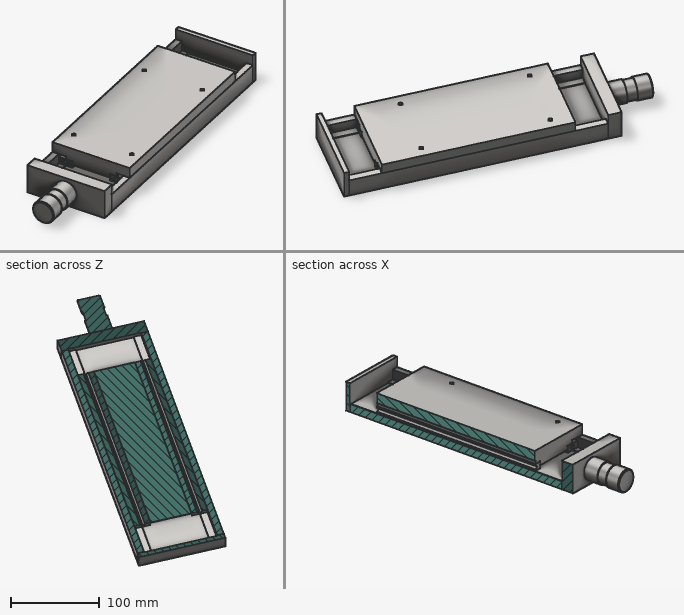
import cadquery as cq

STAGE_WIDTH = 101.5
STAGE_HEIGHT = 36.5

BASE_LENGTH = 306.0
BASE_HEIGHT = 23.5
WALL_THICKNESS = 8.5
FLOOR_HEIGHT = 10.0
SEAT_RISE = 1.0

REAR_PLATE_THICKNESS = 6.0
FRONT_PLATE_THICKNESS = 16.0

RAIL_SIZE = 8.7
RAIL_GAP = 0.8
GROOVE_DEPTH = 2.5
CHANNEL_HALF_WIDTH = STAGE_WIDTH / 2 - WALL_THICKNESS
RAIL_BOTTOM = FLOOR_HEIGHT + SEAT_RISE
OUTER_RAIL_INNER_X = CHANNEL_HALF_WIDTH - RAIL_SIZE
INNER_RAIL_OUTER_X = OUTER_RAIL_INNER_X - RAIL_GAP

CARRIAGE_LENGTH = 228.5
TONGUE_BOTTOM = 14.7
HOLE_DIAMETER = 4.5
HOLE_SPACING_X = 76.5
HOLE_SPACING_Y = 152.5
HOLE_PATTERN_Y = -12.5

KNOB_RADIUS = 14.0
NECK_RADIUS = 13.0
COLLAR_LENGTH = 19.0
NECK_LENGTH = 12.5
GRIP_LENGTH = 18.5
KNOB_CHAMFER = 1.0


def block(x_min, x_max, length, z_min, z_max):
    """Box between two X and two Z positions, centred on Y = 0."""
    size = (x_max - x_min, length, z_max - z_min)
    center = ((x_min + x_max) / 2, 0, (z_min + z_max) / 2)
    return cq.Workplane("XY").box(*size).translate(center)


def make_base():
    half = STAGE_WIDTH / 2
    body = block(-half, half, BASE_LENGTH, 0, BASE_HEIGHT)
    body = body.cut(block(-CHANNEL_HALF_WIDTH, CHANNEL_HALF_WIDTH, BASE_LENGTH, FLOOR_HEIGHT, BASE_HEIGHT))
    seat = block(OUTER_RAIL_INNER_X, CHANNEL_HALF_WIDTH, BASE_LENGTH, FLOOR_HEIGHT, RAIL_BOTTOM)
    return body.union(seat).union(seat.mirror("YZ"))


def make_end_plate(thickness, y_center):
    half = STAGE_WIDTH / 2
    return block(-half, half, thickness, 0, STAGE_HEIGHT).translate((0, y_center, 0))


def make_carriage():
    half = STAGE_WIDTH / 2
    body = block(-half, half, CARRIAGE_LENGTH, BASE_HEIGHT, STAGE_HEIGHT)
    body = body.union(
        block(-INNER_RAIL_OUTER_X, INNER_RAIL_OUTER_X, CARRIAGE_LENGTH, TONGUE_BOTTOM, BASE_HEIGHT)
    )
    pocket = block(INNER_RAIL_OUTER_X - RAIL_SIZE, INNER_RAIL_OUTER_X, CARRIAGE_LENGTH,
                   RAIL_BOTTOM, RAIL_BOTTOM + RAIL_SIZE)
    body = body.cut(pocket).cut(pocket.mirror("YZ"))
    return (
        body.faces(">Z").workplane(origin=(0, HOLE_PATTERN_Y, 0))
        .rect(HOLE_SPACING_X, HOLE_SPACING_Y, forConstruction=True)
        .vertices().hole(HOLE_DIAMETER)
    )


def make_rail(groove_x, back):
    """Rail whose V-grooved face is at groove_x; back is the X direction to its plain face."""
    middle = RAIL_BOTTOM + RAIL_SIZE / 2
    top = RAIL_BOTTOM + RAIL_SIZE
    back_x = groove_x + back * RAIL_SIZE
    return (
        cq.Workplane("XZ")
        .moveTo(groove_x, RAIL_BOTTOM)
        .lineTo(back_x, RAIL_BOTTOM)
        .lineTo(back_x, top)
        .lineTo(groove_x, top)
        .lineTo(groove_x, middle + GROOVE_DEPTH)
        .lineTo(groove_x + back * GROOVE_DEPTH, middle)
        .lineTo(groove_x, middle - GROOVE_DEPTH)
        .close()
        .extrude(CARRIAGE_LENGTH / 2, both=True)
    )


def make_knob():
    y_plate = -BASE_LENGTH / 2 - FRONT_PLATE_THICKNESS
    plane = cq.Plane(origin=(0, y_plate, STAGE_HEIGHT / 2), xDir=(1, 0, 0), normal=(0, -1, 0))
    collar = cq.Workplane(plane).circle(KNOB_RADIUS).extrude(COLLAR_LENGTH)
    neck = collar.faces("<Y").workplane().circle(NECK_RADIUS).extrude(NECK_LENGTH)
    grip = neck.faces("<Y").workplane().circle(KNOB_RADIUS).extrude(GRIP_LENGTH)
    return grip.faces("<Y").chamfer(KNOB_CHAMFER)


base = make_base()
rear_plate = make_end_plate(REAR_PLATE_THICKNESS, (BASE_LENGTH + REAR_PLATE_THICKNESS) / 2)
front_plate = make_end_plate(FRONT_PLATE_THICKNESS, -(BASE_LENGTH + FRONT_PLATE_THICKNESS) / 2)
carriage = make_carriage()
knob = make_knob()

rails = []
for side in (-1, 1):
    rails.append(make_rail(side * OUTER_RAIL_INNER_X, side))
    rails.append(make_rail(side * INNER_RAIL_OUTER_X, -side))

result = cq.Compound.makeCompound(
    [body.val() for body in (base, rear_plate, front_plate, carriage, knob, *rails)]
)